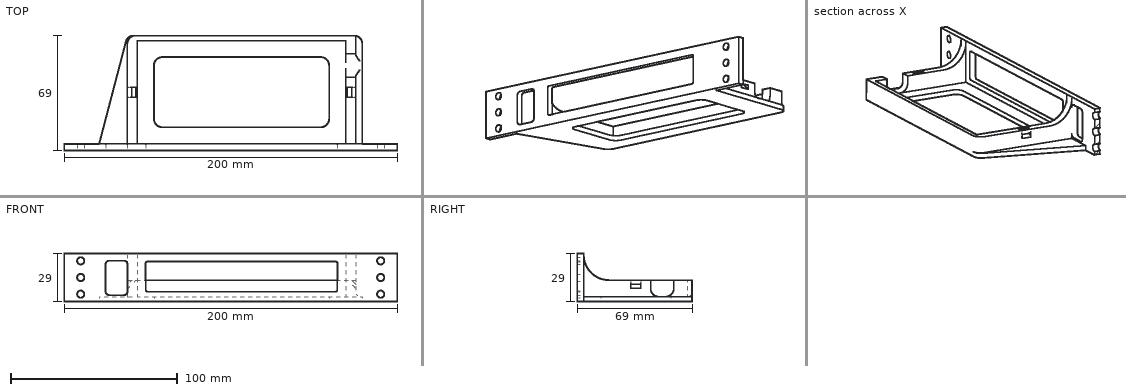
import cadquery as cq

PANEL_WIDTH = 200.0
PANEL_HEIGHT = 29.0
PANEL_THICKNESS = 4.0
SCREW_HOLE_DIAMETER = 4.2
SCREW_HOLE_X = 90.0
SCREW_HOLE_PITCH = 10.0

TOTAL_DEPTH = 69.0
FLOOR_THICKNESS = 3.0
WALL_TOP = 13.0
FLOOR_HALF_WIDTH = 79.0
BAY_CENTRE_X = 6.5
BAY_WIDTH = 125.0
SIDE_WALL_THICKNESS = 6.0
REAR_WALL_THICKNESS = 3.0
CORNER_RADIUS = 5.0
GUSSET_RADIUS = 15.0

MAIN_WINDOW_WIDTH = 115.0
MAIN_WINDOW_BOTTOM = 6.0
MAIN_WINDOW_TOP = 24.0
MAIN_WINDOW_RADIUS = 1.0
SIDE_WINDOW_LEFT = -75.0
SIDE_WINDOW_RIGHT = -62.0
SIDE_WINDOW_BOTTOM = 4.0
SIDE_WINDOW_TOP = 24.5
SIDE_WINDOW_RADIUS = 2.0
FLOOR_WINDOW_WIDTH = 105.0
FLOOR_WINDOW_FRONT = 14.0
FLOOR_WINDOW_REAR = 56.0
FLOOR_WINDOW_RADIUS = 5.0

NOTCH_CENTRE_Y = 51.0
NOTCH_FLOOR_WIDTH = 4.0
NOTCH_FLARE_RADIUS = 5.0
OUTER_FILLET_RADIUS = 3.0

TIE_CENTRE_Y = 35.0
TIE_WIDTH = 6.0
TIE_NEAR_OFFSET = 2.5
TIE_FAR_OFFSET = 5.0

BAY_LEFT = BAY_CENTRE_X - BAY_WIDTH / 2
BAY_RIGHT = BAY_CENTRE_X + BAY_WIDTH / 2
WALL_LEFT = BAY_LEFT - SIDE_WALL_THICKNESS
WALL_RIGHT = BAY_RIGHT + SIDE_WALL_THICKNESS
TRAY_DEPTH = TOTAL_DEPTH - PANEL_THICKNESS


def box(x_min, x_max, y_min, y_max, z_min, z_max):
    """Box between the given limits."""
    size = (x_max - x_min, y_max - y_min, z_max - z_min)
    return cq.Workplane("XY").box(*size, centered=False).translate((x_min, y_min, z_min))


def make_panel():
    """Front plate with its two windows and two columns of screw holes."""
    panel = box(-PANEL_WIDTH / 2, PANEL_WIDTH / 2, 0, PANEL_THICKNESS, 0, PANEL_HEIGHT)
    main_window = box(
        BAY_CENTRE_X - MAIN_WINDOW_WIDTH / 2,
        BAY_CENTRE_X + MAIN_WINDOW_WIDTH / 2,
        0,
        PANEL_THICKNESS,
        MAIN_WINDOW_BOTTOM,
        MAIN_WINDOW_TOP,
    ).edges("|Y").fillet(MAIN_WINDOW_RADIUS)
    side_window = box(
        SIDE_WINDOW_LEFT,
        SIDE_WINDOW_RIGHT,
        0,
        PANEL_THICKNESS,
        SIDE_WINDOW_BOTTOM,
        SIDE_WINDOW_TOP,
    ).edges("|Y").fillet(SIDE_WINDOW_RADIUS)
    screw_centres = [
        (side * SCREW_HOLE_X, PANEL_HEIGHT / 2 + row * SCREW_HOLE_PITCH)
        for side in (-1, 1)
        for row in (-1, 0, 1)
    ]
    screw_holes = (
        cq.Workplane("XZ")
        .pushPoints(screw_centres)
        .circle(SCREW_HOLE_DIAMETER / 2)
        .extrude(-PANEL_THICKNESS)
    )
    return panel.cut(main_window).cut(side_window).cut(screw_holes)


def make_floor_outline(height):
    """Tray footprint, slanted on the left and rounded at the rear corners."""
    outline = [
        (-FLOOR_HALF_WIDTH, PANEL_THICKNESS),
        (FLOOR_HALF_WIDTH, PANEL_THICKNESS),
        (FLOOR_HALF_WIDTH, TOTAL_DEPTH),
        (WALL_LEFT, TOTAL_DEPTH),
    ]
    block = cq.Workplane("XY").polyline(outline).close().extrude(height)
    return block.edges("|Z and >Y").fillet(CORNER_RADIUS)


def make_floor():
    """Tray floor with its large rounded window."""
    window = box(
        BAY_CENTRE_X - FLOOR_WINDOW_WIDTH / 2,
        BAY_CENTRE_X + FLOOR_WINDOW_WIDTH / 2,
        FLOOR_WINDOW_FRONT,
        FLOOR_WINDOW_REAR,
        0,
        FLOOR_THICKNESS,
    ).edges("|Z").fillet(FLOOR_WINDOW_RADIUS)
    return make_floor_outline(FLOOR_THICKNESS).cut(window)


def make_side_wall(x_min):
    """Side wall whose top sweeps up to the panel in a concave arc."""
    arc_centre_y = PANEL_THICKNESS + GUSSET_RADIUS
    arc_centre_z = WALL_TOP + GUSSET_RADIUS
    wall = box(
        x_min,
        x_min + SIDE_WALL_THICKNESS,
        PANEL_THICKNESS,
        TOTAL_DEPTH,
        FLOOR_THICKNESS,
        WALL_TOP,
    )
    gusset = box(
        x_min,
        x_min + SIDE_WALL_THICKNESS,
        PANEL_THICKNESS,
        arc_centre_y,
        WALL_TOP,
        arc_centre_z,
    )
    sweep = (
        cq.Workplane("YZ", origin=(x_min, 0, 0))
        .center(arc_centre_y, arc_centre_z)
        .circle(GUSSET_RADIUS)
        .extrude(SIDE_WALL_THICKNESS)
    )
    return wall.union(gusset.cut(sweep))


def make_left_wall():
    """Left side wall with a rounded outer rear corner."""
    return make_side_wall(WALL_LEFT).edges("|Z and >Y and <X").fillet(CORNER_RADIUS)


def make_outer_fillet():
    """Concave strip along the foot of the right wall's outer face."""
    return (
        cq.Workplane("XZ", origin=(0, PANEL_THICKNESS, 0))
        .moveTo(WALL_RIGHT, FLOOR_THICKNESS)
        .lineTo(WALL_RIGHT + OUTER_FILLET_RADIUS, FLOOR_THICKNESS)
        .radiusArc((WALL_RIGHT, FLOOR_THICKNESS + OUTER_FILLET_RADIUS), OUTER_FILLET_RADIUS)
        .close()
        .extrude(-TRAY_DEPTH)
    )


def make_notch():
    """Cutter for the notch, narrow at the floor and flared by concave arcs."""
    half_floor = NOTCH_FLOOR_WIDTH / 2
    half_top = half_floor + NOTCH_FLARE_RADIUS
    flare_top = FLOOR_THICKNESS + NOTCH_FLARE_RADIUS
    return (
        cq.Workplane("YZ", origin=(BAY_RIGHT, NOTCH_CENTRE_Y, 0))
        .moveTo(-half_floor, FLOOR_THICKNESS)
        .lineTo(half_floor, FLOOR_THICKNESS)
        .radiusArc((half_top, flare_top), -NOTCH_FLARE_RADIUS)
        .lineTo(half_top, WALL_TOP)
        .lineTo(-half_top, WALL_TOP)
        .lineTo(-half_top, flare_top)
        .radiusArc((-half_floor, FLOOR_THICKNESS), -NOTCH_FLARE_RADIUS)
        .close()
        .extrude(SIDE_WALL_THICKNESS + OUTER_FILLET_RADIUS)
    )


def make_right_wall():
    """Right side wall with its foot fillet, flared notch and trimmed rear corner."""
    wall = make_side_wall(BAY_RIGHT).union(make_outer_fillet())
    return wall.cut(make_notch()).intersect(make_floor_outline(PANEL_HEIGHT))


def make_tie_channel(edge_x, inward):
    """Slanted slot from the top of a side wall to its outer face; inward is the X sign towards the bay."""
    outline = [
        (inward * TIE_NEAR_OFFSET, 0),
        (inward * TIE_FAR_OFFSET, 0),
        (0, -TIE_FAR_OFFSET),
        (0, -TIE_NEAR_OFFSET),
    ]
    return (
        cq.Workplane("XZ", origin=(edge_x, TIE_CENTRE_Y + TIE_WIDTH / 2, WALL_TOP))
        .polyline(outline)
        .close()
        .extrude(TIE_WIDTH)
    )


rear_wall = box(
    WALL_LEFT + CORNER_RADIUS,
    BAY_RIGHT,
    TOTAL_DEPTH - REAR_WALL_THICKNESS,
    TOTAL_DEPTH,
    FLOOR_THICKNESS,
    WALL_TOP,
)

result = make_panel().union(make_floor()).union(rear_wall)
result = result.union(make_left_wall()).union(make_right_wall())
for outer_edge_x, inward_sign in ((WALL_LEFT, 1), (WALL_RIGHT, -1)):
    result = result.cut(make_tie_channel(outer_edge_x, inward_sign))